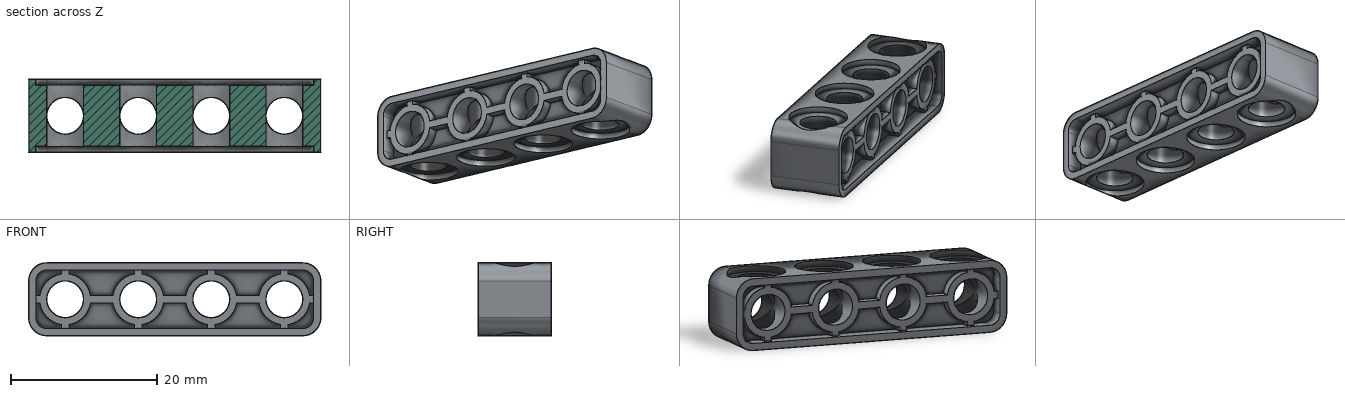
import cadquery as cq

pitch = 10.0
hole_count = 4
wall = 1.0
hole_diameter = 5.0
boss_diameter = 7.0
counterbore_diameter = 8.0
counterbore_depth = 0.8
rib_thickness = 1.0
pocket_depth = 2.3
boss_recess = 0.8

length = hole_count * pitch
half_pitch = pitch / 2
corner_radius = pitch / 4
cavity_length = length - 2 * wall
cavity_height = pitch - 2 * wall
boss_height = pocket_depth - boss_recess
first_hole_x = half_pitch - length / 2
hole_positions = [(first_hole_x + i * pitch, 0) for i in range(hole_count)]


def front_plane(inset):
    """Plane facing -Y, set back from the front face by the given distance."""
    return cq.Plane(origin=(0, inset - half_pitch, 0), xDir=(1, 0, 0), normal=(0, -1, 0))


def top_plane(inset):
    """Plane facing +Z, set down from the top face by the given distance."""
    return cq.Plane(origin=(0, 0, half_pitch - inset), xDir=(1, 0, 0), normal=(0, 0, 1))


def rounded_block(size_x, size_z, radius, back_inset):
    """Block from an inset plane to the front face, with its four edges along Y rounded."""
    block = cq.Workplane(front_plane(back_inset)).rect(size_x, size_z).extrude(back_inset)
    return block.edges("|Y").fillet(radius)


def cylinder_row(plane, diameter, height):
    """One cylinder per hole position, rising from the plane along its normal."""
    return cq.Workplane(plane).pushPoints(hole_positions).circle(diameter / 2).extrude(height)


def front_pocket():
    """Space removed behind the front face, leaving the hole bosses and the ribs standing."""
    floor = front_plane(pocket_depth)
    cavity = rounded_block(cavity_length, cavity_height, corner_radius - wall, pocket_depth)
    bosses = cylinder_row(floor, boss_diameter, boss_height)
    long_rib = cq.Workplane(floor).rect(length, rib_thickness).extrude(boss_height)
    cross_ribs = (
        cq.Workplane(floor)
        .pushPoints(hole_positions)
        .rect(rib_thickness, pitch)
        .extrude(boss_height)
    )
    return cavity.cut(bosses).cut(long_rib).cut(cross_ribs)


beam = rounded_block(length, pitch, corner_radius, pitch)

pocket = front_pocket()
beam = beam.cut(pocket).cut(pocket.mirror("XZ"))

counterbores = cylinder_row(top_plane(counterbore_depth), counterbore_diameter, counterbore_depth)
beam = beam.cut(counterbores).cut(counterbores.mirror("XY"))

beam = beam.cut(cylinder_row(front_plane(pitch), hole_diameter, pitch))
beam = beam.cut(cylinder_row(top_plane(pitch), hole_diameter, pitch))

result = beam